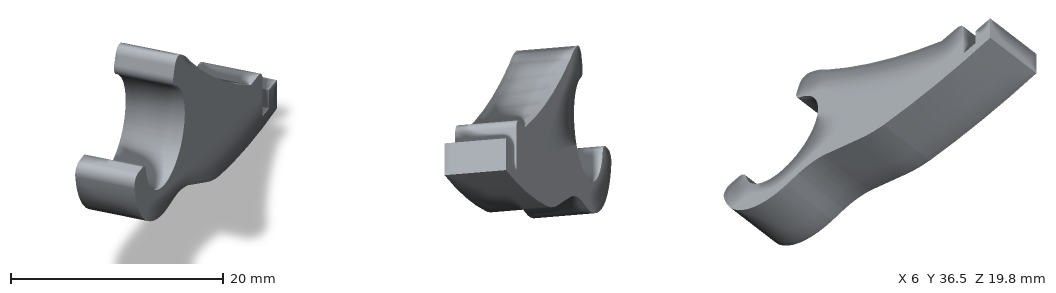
import cadquery as cq
import math

length = 36.55
thickness = 6.0

bore_radius = 5.0
fork_radius = 8.0
fork_along = 28.6
fork_up = 12.68
upper_tip_angle = 110.5
tip_fillet = 1.0

hook_width = 2.0
hook_top = 3.25
slot_end = 3.65
slot_floor = 1.28
tail_bottom = 0.1
shoulder_top = 6.35
shoulder_end = 6.65
shoulder_fillet = 1.0

back_end_along = 22.45
back_mid = (14.55, 11.3)

belly_mid = (7.3, 0.07)
belly_end = (14.6, 0.85)
bend_mid = (16.4, 1.3)
bend_end = (18.12, 2.05)
neck_start = (21.92, 3.87)
neck_mid = (24.05, 4.68)
neck_end = (26.3, 4.85)
fork_start_angle = 265.0

facet_width = 0.65
facet_tilt = 6.0
facet_yaw = 2.0
cutter_height = 7.3


def on_fork(radius, angle):
    """Point on a circle about the fork centre; the angle starts at the fork end."""
    turn = math.radians(angle)
    return fork_along + radius * math.cos(turn), fork_up + radius * math.sin(turn)


def place(point):
    """Turn an (along, up) point into (Y, Z), with the part centred on Y = 0."""
    along, up = point
    return length / 2 - along, up


back_start = (shoulder_end, shoulder_top)
back_end_angle = 180 - math.degrees(math.acos((fork_along - back_end_along) / fork_radius))
back_end = on_fork(fork_radius, back_end_angle)


def make_plate():
    upper_mid_angle = (back_end_angle + upper_tip_angle) / 2
    bore_mid_angle = (upper_tip_angle + 360) / 2
    fork_mid_angle = (fork_start_angle + 360) / 2
    outline = (
        cq.Workplane("YZ", origin=(-thickness / 2, 0, 0))
        .moveTo(*place((0, tail_bottom)))
        .lineTo(*place((0, hook_top)))
        .lineTo(*place((hook_width, hook_top)))
        .lineTo(*place((hook_width, slot_floor)))
        .lineTo(*place((slot_end, slot_floor)))
        .lineTo(*place((slot_end, shoulder_top)))
        .lineTo(*place(back_start))
        .threePointArc(place(back_mid), place(back_end))
        .threePointArc(
            place(on_fork(fork_radius, upper_mid_angle)),
            place(on_fork(fork_radius, upper_tip_angle)),
        )
        .lineTo(*place(on_fork(bore_radius, upper_tip_angle)))
        .threePointArc(
            place(on_fork(bore_radius, bore_mid_angle)),
            place(on_fork(bore_radius, 0)),
        )
        .lineTo(*place(on_fork(fork_radius, 0)))
        .threePointArc(
            place(on_fork(fork_radius, fork_mid_angle)),
            place(on_fork(fork_radius, fork_start_angle)),
        )
        .lineTo(*place(neck_end))
        .threePointArc(place(neck_mid), place(neck_start))
        .lineTo(*place(bend_end))
        .threePointArc(place(bend_mid), place(belly_end))
        .threePointArc(place(belly_mid), place((0, tail_bottom)))
        .close()
    )
    return outline.extrude(thickness)


def fillet_corner(body, point, radius):
    """Round the edge along X that passes through an (along, up) point."""
    y, z = place(point)
    return body.edges(cq.NearestToPointSelector((0, y, z))).fillet(radius)


def make_facet_cutter():
    """Copy of the back surface, rolled down at -X and yawed so the facet tapers out."""
    start_y, start_z = place(back_start)
    end_y, end_z = place(back_end)
    cutter = (
        cq.Workplane("YZ", origin=(-thickness, 0, 0))
        .moveTo(start_y, start_z)
        .threePointArc(place(back_mid), (end_y, end_z))
        .lineTo(end_y, end_z + cutter_height)
        .lineTo(start_y, end_z + cutter_height)
        .close()
        .extrude(thickness)
    )
    inner_x = -thickness / 2 + facet_width
    return (
        cutter.rotate((0, start_y, start_z), (0, end_y, end_z), facet_tilt)
        .rotate((0, start_y, start_z), (0, start_y, start_z + 0.35), -facet_yaw)
        .translate((inner_x, 0, 0))
    )


result = make_plate()
result = fillet_corner(result, (slot_end, shoulder_top), shoulder_fillet)
for tip_angle in (0, upper_tip_angle):
    for tip_radius in (bore_radius, fork_radius):
        result = fillet_corner(result, on_fork(tip_radius, tip_angle), tip_fillet)
result = result.cut(make_facet_cutter())